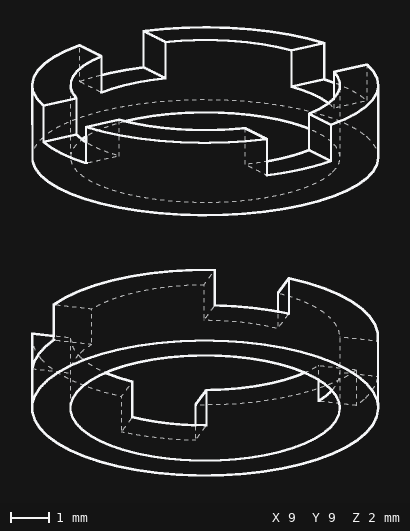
import cadquery as cq

outer_diameter = 9.0
wall_thickness = 1.0
ring_height = 2 * wall_thickness
slot_width = 2 * wall_thickness
slot_depth = ring_height / 2

inner_diameter = outer_diameter - 2 * wall_thickness


def plain_ring():
    """Ring standing on the XY plane, centred on Z."""
    return (
        cq.Workplane("XY")
        .circle(outer_diameter / 2)
        .circle(inner_diameter / 2)
        .extrude(ring_height)
    )


def cross_slot(angle):
    """Cutter for a pair of opposite slots in the top face, running along the given angle."""
    slot_floor = ring_height - slot_depth
    return (
        cq.Workplane("XY")
        .workplane(offset=slot_floor)
        .rect(outer_diameter, slot_width)
        .extrude(slot_depth)
        .rotate((0, 0, 0), (0, 0, 1), angle)
    )


result = plain_ring()
for slot_angle in (0, 90):
    result = result.cut(cross_slot(slot_angle))